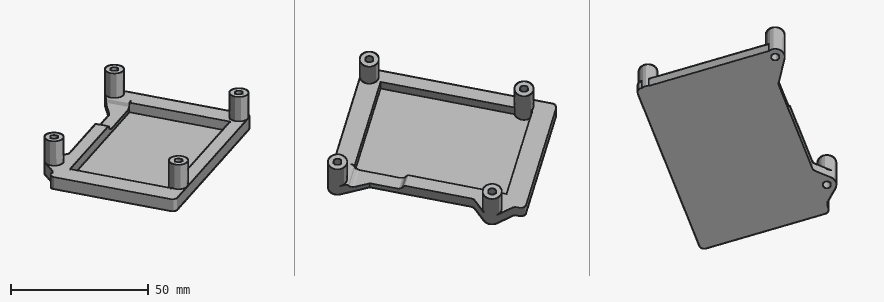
import cadquery as cq
import math

length_x = 56.0
length_y = 73.1
height = 15.0
plate_thickness = 5.0

post_diameter = 7.0
post_radius = post_diameter / 2
hole_diameter = 2.9
front_post_y = 11.6
left_post_x = post_radius
right_post_x = length_x - post_radius
back_post_y = length_y - post_radius

plate_left = 6.2
plate_back = 72.8
corner_radius = 2.0
ear_fillet = 2.0
back_ear_end_y = 58.1

pocket_left = 11.25
pocket_right = 50.9
pocket_front = 8.1
pocket_back = 65.0
pocket_depth = 3.95

notch_front = 44.45
notch_back = 66.4
notch_depth = 2.5
notch_rim_radius = 2.8 / 2
notch_floor_radius = 4.9 / 2


def make_plate():
    """Flat plate with rounded right corners and front left corner."""
    plate = cq.Workplane("XY").box(
        length_x - plate_left, plate_back, plate_thickness, centered=False
    ).translate((plate_left, 0, 0))
    return plate.edges("|Z and (>X or <Y)").fillet(corner_radius)


def make_front_ear():
    """Ear with 45 degree sides tangent to the front left post."""
    tangent_offset = post_radius * math.sqrt(0.5)
    tangent_x = left_post_x - tangent_offset
    half_width = tangent_offset + plate_left - tangent_x
    return (
        cq.Workplane("XY")
        .moveTo(plate_left, front_post_y - half_width)
        .lineTo(tangent_x, front_post_y - tangent_offset)
        .lineTo(tangent_x, front_post_y + tangent_offset)
        .lineTo(plate_left, front_post_y + half_width)
        .close()
        .extrude(plate_thickness)
    )


def make_back_ear():
    """Ear whose slanted side is tangent to the back left post."""
    run_x = plate_left - left_post_x
    run_y = back_ear_end_y - back_post_y
    center_angle = math.atan2(run_y, run_x)
    tangent_angle = center_angle - math.acos(post_radius / math.hypot(run_x, run_y))
    return (
        cq.Workplane("XY")
        .moveTo(plate_left, back_ear_end_y)
        .lineTo(
            left_post_x + post_radius * math.cos(tangent_angle),
            back_post_y + post_radius * math.sin(tangent_angle),
        )
        .lineTo(left_post_x, back_post_y)
        .lineTo(left_post_x, plate_back)
        .lineTo(plate_left, plate_back)
        .close()
        .extrude(plate_thickness)
    )


def make_pocket():
    return cq.Workplane("XY").box(
        pocket_right - pocket_left,
        pocket_back - pocket_front,
        pocket_depth,
        centered=False,
    ).translate((pocket_left, pocket_front, plate_thickness - pocket_depth))


def make_notch():
    """Recess along X from the left side to the pocket."""
    floor_z = plate_thickness - notch_depth
    radius_sum = notch_rim_radius + notch_floor_radius
    end_run = math.sqrt(radius_sum**2 - (radius_sum - notch_depth) ** 2)
    rim_share = notch_rim_radius / radius_sum
    rim_run = end_run * rim_share
    join_z = plate_thickness - notch_depth * rim_share
    return (
        cq.Workplane("YZ")
        .moveTo(notch_front, plate_thickness)
        .radiusArc((notch_front + rim_run, join_z), notch_rim_radius)
        .radiusArc((notch_front + end_run, floor_z), -notch_floor_radius)
        .lineTo(notch_back - end_run, floor_z)
        .radiusArc((notch_back - rim_run, join_z), -notch_floor_radius)
        .radiusArc((notch_back, plate_thickness), notch_rim_radius)
        .close()
        .extrude(pocket_left)
    )


body = make_plate().union(make_front_ear())
ear_roots = cq.selectors.BoxSelector(
    (plate_left - ear_fillet, corner_radius, 0),
    (plate_left + ear_fillet, back_ear_end_y, plate_thickness),
)
body = body.edges("|Z").edges(ear_roots).fillet(ear_fillet)
body = body.union(make_back_ear()).cut(make_pocket()).cut(make_notch())

post_centers = [
    (x, y) for x in (left_post_x, right_post_x) for y in (front_post_y, back_post_y)
]
posts = cq.Workplane("XY").pushPoints(post_centers).circle(post_radius).extrude(height)
body = body.union(posts)

left_holes = (
    cq.Workplane("XY").pushPoints(post_centers[:2]).circle(hole_diameter / 2).extrude(height)
)
right_holes = (
    cq.Workplane("XY", origin=(0, 0, plate_thickness))
    .pushPoints(post_centers[2:])
    .circle(hole_diameter / 2)
    .extrude(height - plate_thickness)
)
result = body.cut(left_holes).cut(right_holes)